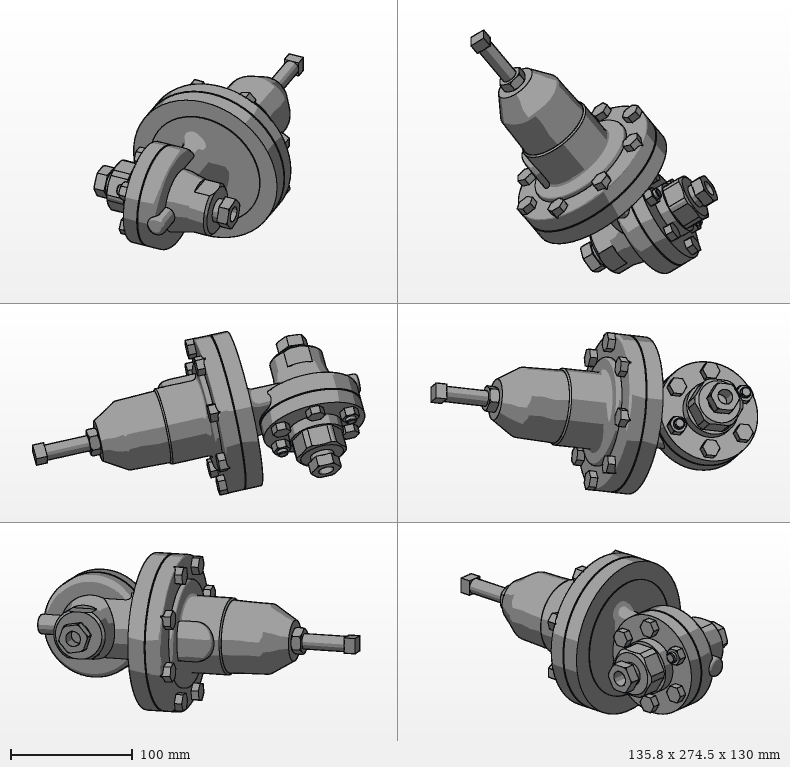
import cadquery as cq
import math


seam_recess = 0.3
seam_width = 0.8
hex_half_pitch = 30

screw_top = 229.5
screw_square = 13.0
square_length = 9.3
screw_radius = screw_square / 2
lock_nut_flats = 19.5
lock_nut_top = 183.5
lock_nut_chamfer = 1.0

housing_top = 175.5
housing_top_radius = 17.0
shoulder_y = 155.4
shoulder_radius = 29.0
shoulder_fillet = 5.0
barrel_base_y = 121.5
barrel_base_radius = 30.2
collar_radius = 31.8
collar_chamfer = 1.5
collar_fillet = 4.0

pad_top = 85.5
pad_radius = 45.0
pad_fillet = 2.2
flange_top = 81.0
flange_seam_y = 66.7
flange_bottom = 52.2
flange_radius = 65.0
flange_fillet = 2.2
foot_radius = 49.7
foot_bottom = 51.3
flange_bolt_count = 8
flange_bolt_circle = 57.5
flange_bolt_corner = 8.0
flange_bolt_top = 87.3

vent_radius = 16.5
vent_centre_y = 99.5
vent_reach = 36.8
vent_fillet = 2.2

neck_flat_x = -15.6
neck_radius = 30.7
neck_right_x = 12.5
neck_corner_fillet = 6.5
neck_foot_fillet = 9.5

cover_left = -30.2
body_seam_x = -17.5
body_right = 0
body_radius = 42.8
body_fillet = 5.0
cone_radius = 27.0
outlet_left = 19.2
outlet_right = 35.0
outlet_radius = 22.2
outlet_flats = 39.3
outlet_chamfer = 2.2

cover_bolt_count = 6
cover_bolt_circle = 33.5
cover_bolt_flats = 13.2
cover_head_height = 6.5
cover_nut_height = 7.0
cover_nut_chamfer = 0.8
stud_radius = 4.5
stud_height = 10.7
stud_chamfer = 0.8
stud_indices = (1, 4)

inlet_collar_radius = 22.5
inlet_hex_right = -39.3
inlet_hex_left = -56.5
inlet_hex_flats = 39.0
inlet_turned_radius = 21.0
inlet_chamfer_length = 1.5
inlet_end_radius = 18.0

inlet_tip = -70.8
outlet_tip = 50.0
fitting_nut_length = 9.3
fitting_flats = 22.5
fitting_neck_radius = 10.0
fitting_bore_radius = 6.3
outlet_nut_turn = 11
fitting_chamfer = 0.8

plug_radius = 8.2
plug_end = -45.0
plug_fillet = 3.0


def corner_diameter(flats):
    """Diameter across the corners of a hexagon, from its size across flats."""
    return flats / math.cos(math.radians(hex_half_pitch))


def turned_y(points):
    """Solid turned about the Y axis from (radius, y) corner points."""
    return cq.Workplane("XY").polyline(points).close().revolve(360, (0, 0, 0), (0, 1, 0))


def turned_x(points):
    """Solid turned about the X axis from (x, radius) corner points."""
    return cq.Workplane("XY").polyline(points).close().revolve(360, (0, 0, 0), (1, 0, 0))


def cylinder_y(radius, low, high):
    return turned_y([(0, low), (radius, low), (radius, high), (0, high)])


def cylinder_x(radius, left, right):
    return turned_x([(left, 0), (left, radius), (right, radius), (right, 0)])


def hexagon_x(flats, left, right, turn=0):
    """Hexagonal bar along X with corners toward +Y and -Y, then turned about X."""
    bar = cq.Workplane("YZ", origin=(left, 0, 0)).polygon(6, corner_diameter(flats)).extrude(right - left)
    return bar.rotate((0, 0, 0), (1, 0, 0), turn)


def adjusting_screw():
    square_centre = screw_top - square_length / 2
    square = cq.Workplane("XY").box(screw_square, square_length, screw_square)
    square = square.translate((0, square_centre, 0))
    shank = cylinder_y(screw_radius, housing_top, screw_top - square_length)
    nut_corner = corner_diameter(lock_nut_flats) / 2
    nut = (
        cq.Workplane("XZ", origin=(0, lock_nut_top, 0))
        .polygon(6, 2 * nut_corner)
        .extrude(lock_nut_top - housing_top)
        .rotate((0, 0, 0), (0, 1, 0), hex_half_pitch)
    )
    envelope = cylinder_y(nut_corner, housing_top, lock_nut_top).edges().chamfer(lock_nut_chamfer)
    return square.union(shank).union(nut.intersect(envelope))


def spring_housing():
    barrel = turned_y([
        (0, housing_top),
        (housing_top_radius, housing_top),
        (shoulder_radius, shoulder_y),
        (barrel_base_radius, barrel_base_y),
        (0, barrel_base_y),
    ])
    barrel = barrel.edges("%CIRCLE exc (>Y or <Y)").fillet(shoulder_fillet)
    collar = cylinder_y(collar_radius, pad_top, barrel_base_y).faces(">Y").edges().chamfer(collar_chamfer)
    root = (
        cq.Workplane("XY")
        .moveTo(0, pad_top)
        .lineTo(collar_radius + collar_fillet, pad_top)
        .radiusArc((collar_radius, pad_top + collar_fillet), collar_fillet)
        .lineTo(0, pad_top + collar_fillet)
        .close()
        .revolve(360, (0, 0, 0), (0, 1, 0))
    )
    return barrel.union(collar).union(root)


def vent_boss():
    arch = cq.Workplane("YZ").center(vent_centre_y, 0).circle(vent_radius).extrude(vent_reach)
    leg_length = vent_centre_y - pad_top
    leg = (
        cq.Workplane("YZ")
        .center(pad_top + leg_length / 2, 0)
        .rect(leg_length, 2 * vent_radius)
        .extrude(vent_reach)
    )
    envelope = cylinder_y(vent_reach, pad_top, barrel_base_y)
    boss = arch.union(leg).clean().intersect(envelope)
    return boss.faces(">X").edges("not <Y").fillet(vent_fillet)


def diaphragm_flange():
    half_seam = seam_width / 2
    pad = cylinder_y(pad_radius, flange_top, pad_top).faces(">Y").edges().fillet(pad_fillet)
    upper = cylinder_y(flange_radius, flange_seam_y + half_seam, flange_top)
    upper = upper.faces(">Y").edges().fillet(flange_fillet)
    gasket = cylinder_y(flange_radius - seam_recess, flange_seam_y - half_seam, flange_seam_y + half_seam)
    lower = cylinder_y(flange_radius, flange_bottom, flange_seam_y - half_seam)
    flange = pad.union(upper).union(gasket).union(lower)
    pitch = 360 / flange_bolt_count
    first_angle = math.radians(pitch / 2)
    first_place = (flange_bolt_circle * math.cos(first_angle), 0, flange_bolt_circle * math.sin(first_angle))
    first_head = (
        cq.Workplane("XZ", origin=(0, flange_bolt_top, 0))
        .polygon(6, 2 * flange_bolt_corner)
        .extrude(flange_bolt_top - flange_top + flange_fillet)
        .rotate((0, 0, 0), (0, 1, 0), hex_half_pitch)
        .translate(first_place)
    )
    for index in range(flange_bolt_count):
        flange = flange.union(first_head.rotate((0, 0, 0), (0, 1, 0), index * pitch))
    return flange


def neck():
    """D-shaped neck from the flange down to the X axis, blended into the raised disc above it."""
    arc_centre_x = neck_right_x - neck_radius
    drum = (
        cq.Workplane("XZ", origin=(arc_centre_x, flange_bottom, 0))
        .circle(neck_radius)
        .extrude(flange_bottom)
    )
    keep = cq.Workplane("XY").box(2 * neck_radius, 4 * flange_bottom, 4 * neck_radius)
    stem = drum.intersect(keep.translate((neck_flat_x + neck_radius, 0, 0)))
    stem = stem.faces("<X").edges("|Y").fillet(neck_corner_fillet)
    disc = cylinder_y(foot_radius, foot_bottom, flange_bottom)
    blended = disc.union(stem)
    pierced_faces = [face for face in blended.faces("%PLANE").vals() if face.innerWires()]
    root_edges = pierced_faces[0].innerWires()[0].Edges()
    return cq.Workplane(blended.val().fillet(neck_foot_fillet, root_edges))


def valve_body():
    half_seam = seam_width / 2
    cover = cylinder_x(body_radius, cover_left, body_seam_x - half_seam)
    gasket = cylinder_x(body_radius - seam_recess, body_seam_x - half_seam, body_seam_x + half_seam)
    body = cylinder_x(body_radius, body_seam_x + half_seam, body_right)
    body = body.faces(">X").edges().fillet(body_fillet)
    cone = turned_x([
        (body_right, 0),
        (body_right, cone_radius),
        (outlet_left, outlet_radius),
        (outlet_left, 0),
    ])
    outlet = cylinder_x(outlet_radius, outlet_left, outlet_right).faces(">X").edges().chamfer(outlet_chamfer)
    slab = cq.Workplane("XY").box(4 * outlet_right, 4 * outlet_radius, outlet_flats)
    plug = cylinder_y(plug_radius, plug_end, 0).faces("<Y").edges().fillet(plug_fillet)
    return cover.union(gasket).union(body).union(cone).union(outlet.intersect(slab)).union(plug)


def inlet_hexagon():
    collar = cylinder_x(inlet_collar_radius, inlet_hex_right, cover_left)
    turned = turned_x([
        (inlet_hex_left, 0),
        (inlet_hex_left, inlet_end_radius),
        (inlet_hex_left + inlet_chamfer_length, inlet_turned_radius),
        (inlet_hex_right, inlet_turned_radius),
        (inlet_hex_right, 0),
    ])
    return collar.union(turned.intersect(hexagon_x(inlet_hex_flats, inlet_hex_left, inlet_hex_right)))


def cover_bolts():
    nut_bar = hexagon_x(cover_bolt_flats, cover_left - cover_nut_height, cover_left)
    envelope = cylinder_x(corner_diameter(cover_bolt_flats) / 2, cover_left - cover_nut_height, cover_left)
    nut = nut_bar.intersect(envelope.faces("<X").edges().chamfer(cover_nut_chamfer))
    stud = cylinder_x(stud_radius, cover_left - stud_height, cover_left)
    stud = stud.faces("<X").edges().chamfer(stud_chamfer)
    stud_and_nut = nut.union(stud)
    head = hexagon_x(cover_bolt_flats, cover_left - cover_head_height, cover_left)
    bolts = cq.Workplane("XY")
    for index in range(cover_bolt_count):
        angle = math.radians(90 + index * 360 / cover_bolt_count)
        place = (0, cover_bolt_circle * math.cos(angle), cover_bolt_circle * math.sin(angle))
        shape = stud_and_nut if index in stud_indices else head
        bolts = bolts.add(shape.translate(place))
    return bolts.combine()


def fitting(tip, body_end, turn):
    """Hexagonal pipe fitting with a round neck, bored from its tip to the body."""
    inward = math.copysign(1, body_end - tip)
    nut_end = tip + inward * fitting_nut_length
    left, right = sorted((tip, nut_end))
    envelope = cylinder_x(corner_diameter(fitting_flats) / 2, left, right)
    tip_face = "<X" if inward > 0 else ">X"
    envelope = envelope.faces(tip_face).edges().chamfer(fitting_chamfer)
    nut = hexagon_x(fitting_flats, left, right, turn).intersect(envelope)
    neck_left, neck_right = sorted((nut_end, body_end))
    bore_left, bore_right = sorted((tip, body_end))
    shape = nut.union(cylinder_x(fitting_neck_radius, neck_left, neck_right))
    return shape.cut(cylinder_x(fitting_bore_radius, bore_left, bore_right))


result = (
    diaphragm_flange()
    .union(neck())
    .union(spring_housing())
    .union(vent_boss())
    .union(adjusting_screw())
    .union(valve_body())
    .union(inlet_hexagon())
    .union(cover_bolts())
    .union(fitting(inlet_tip, inlet_hex_left, 0))
    .union(fitting(outlet_tip, outlet_right, outlet_nut_turn))
)